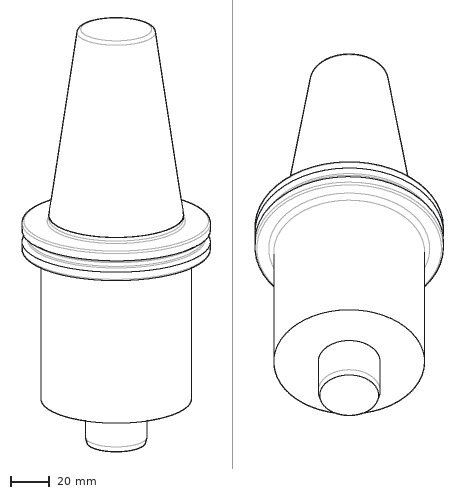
import cadquery as cq

GAUGE_DIAMETER = 69.85
TAPER_LENGTH = 101.75
TAPER_RATIO = 7 / 24
TIP_FILLET = 2.0

FLANGE_TOP_Z = -3.0
COLLAR_FILLET = 1.0
COLLAR_DIAMETER = 69.4

FLANGE_DIAMETER = 97.45
FLANGE_BOTTOM_Z = -19.1
FLANGE_FILLET = 1.0
GROOVE_DIAMETER = 91.0
GROOVE_CENTRE_Z = -11.1
GROOVE_FLOOR_WIDTH = 3.0
GROOVE_FLANK_RUN = 1.6
GROOVE_FILLET = 0.8

BODY_DIAMETER = 78.0
BODY_BOTTOM_Z = -100.0
BODY_FILLET = 2.6

PIN_DIAMETER = 32.0
TOTAL_LENGTH = 225.6
PIN_BOTTOM_Z = TAPER_LENGTH - TOTAL_LENGTH
PIN_CHAMFER_WIDTH = 0.8
PIN_CHAMFER_HEIGHT = 3.0


def revolve_profile(profile):
    """Turn a closed (radius, z) profile a full circle about Z."""
    return profile.close().revolve(360, (0, 0, 0), (0, 1, 0))


def make_taper():
    gauge_radius = GAUGE_DIAMETER / 2
    tip_radius = gauge_radius - TAPER_LENGTH * TAPER_RATIO / 2
    profile = (
        cq.Workplane("XZ")
        .lineTo(gauge_radius, 0)
        .lineTo(tip_radius, TAPER_LENGTH)
        .lineTo(0, TAPER_LENGTH)
    )
    return revolve_profile(profile).faces(">Z").edges().fillet(TIP_FILLET)


def make_collar():
    collar_radius = COLLAR_DIAMETER / 2
    profile = (
        cq.Workplane("XZ")
        .lineTo(collar_radius, 0)
        .lineTo(collar_radius, FLANGE_TOP_Z + COLLAR_FILLET)
        .radiusArc((collar_radius + COLLAR_FILLET, FLANGE_TOP_Z), -COLLAR_FILLET)
        .lineTo(0, FLANGE_TOP_Z)
    )
    return revolve_profile(profile)


def make_flange():
    flange = (
        cq.Workplane("XY", origin=(0, 0, FLANGE_BOTTOM_Z))
        .circle(FLANGE_DIAMETER / 2)
        .extrude(FLANGE_TOP_Z - FLANGE_BOTTOM_Z)
        .edges()
        .fillet(FLANGE_FILLET)
    )
    return flange.cut(make_groove())


def make_groove():
    outer_radius = FLANGE_DIAMETER / 2
    floor_radius = GROOVE_DIAMETER / 2
    half_floor = GROOVE_FLOOR_WIDTH / 2
    half_mouth = half_floor + GROOVE_FLANK_RUN
    profile = (
        cq.Workplane("XZ")
        .moveTo(outer_radius, GROOVE_CENTRE_Z + half_mouth)
        .lineTo(floor_radius, GROOVE_CENTRE_Z + half_floor)
        .lineTo(floor_radius, GROOVE_CENTRE_Z - half_floor)
        .lineTo(outer_radius, GROOVE_CENTRE_Z - half_mouth)
    )
    floor_corners = cq.selectors.RadiusNthSelector(0)
    return revolve_profile(profile).edges(floor_corners).fillet(GROOVE_FILLET)


def make_body():
    body_radius = BODY_DIAMETER / 2
    profile = (
        cq.Workplane("XZ")
        .moveTo(0, FLANGE_BOTTOM_Z)
        .lineTo(body_radius + BODY_FILLET, FLANGE_BOTTOM_Z)
        .radiusArc((body_radius, FLANGE_BOTTOM_Z - BODY_FILLET), -BODY_FILLET)
        .lineTo(body_radius, BODY_BOTTOM_Z)
        .lineTo(0, BODY_BOTTOM_Z)
    )
    return revolve_profile(profile)


def make_pin():
    pin_radius = PIN_DIAMETER / 2
    profile = (
        cq.Workplane("XZ")
        .moveTo(0, BODY_BOTTOM_Z)
        .lineTo(pin_radius, BODY_BOTTOM_Z)
        .lineTo(pin_radius, PIN_BOTTOM_Z + PIN_CHAMFER_HEIGHT)
        .lineTo(pin_radius - PIN_CHAMFER_WIDTH, PIN_BOTTOM_Z)
        .lineTo(0, PIN_BOTTOM_Z)
    )
    return revolve_profile(profile)


result = (
    make_taper()
    .union(make_collar())
    .union(make_flange())
    .union(make_body())
    .union(make_pin())
)